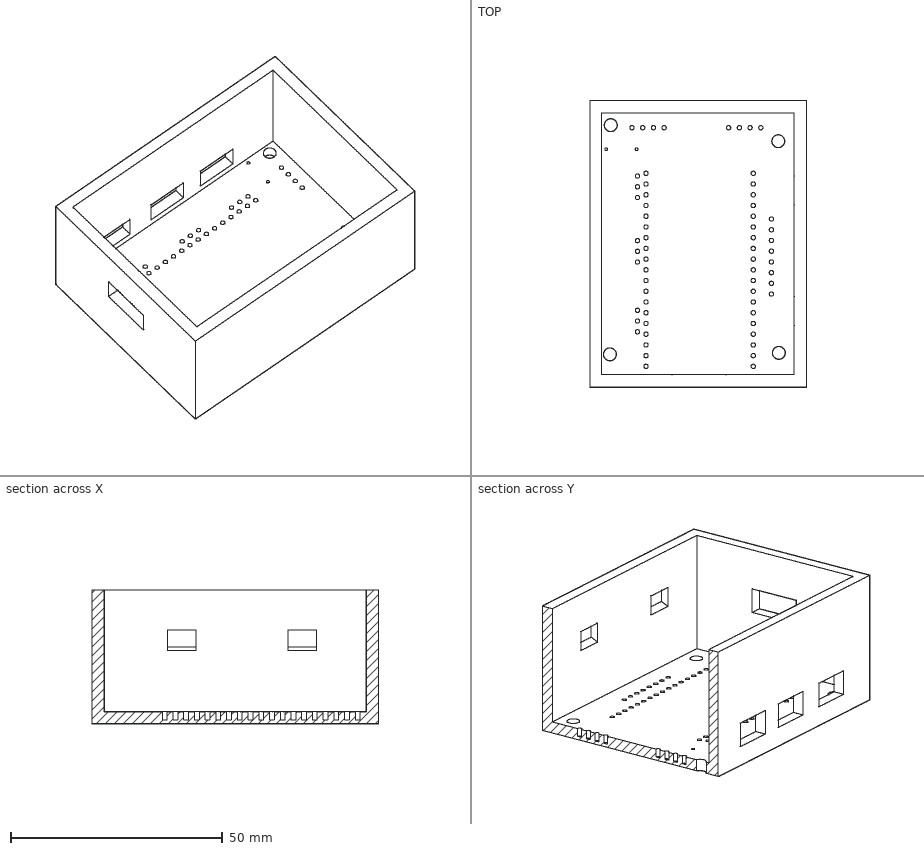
import cadquery as cq

LENGTH_X = 51.3
LENGTH_Y = 67.9
HEIGHT = 31.7
WALL = 3.0
LEFT_WALL = 2.8
FLOOR = 2.9
INNER_RIGHT = LENGTH_X - WALL

PIN_DIAMETER = 1.0
PIN_DEPTH = 2.0
HEADER_PINS = 19
HEADER_LENGTH = 45.7
PITCH = HEADER_LENGTH / (HEADER_PINS - 1)
HEADER_START_Y = 4.95
LEFT_HEADER_X = 13.3
HEADER_GAP_PITCHES = 10
RIGHT_HEADER_X = LEFT_HEADER_X + HEADER_GAP_PITCHES * PITCH

CONNECTOR_PINS = 3
CONNECTOR_X = 11.3
CONNECTOR_CENTERS_Y = (15.7, 32.2, 47.45)
SIDE_WINDOW_WIDTH = 10.0
SIDE_WINDOW_SILL = 4.8
WINDOW_HEIGHT = 6.0

SIDE_ROW_PINS = 8
SIDE_ROW_X = 43.0
SIDE_ROW_START_Y = 22.1
BACK_ROW_PINS = 4
BACK_ROW_Y = 61.45
BACK_ROW_STARTS_X = (10.0, 32.85)

FINE_DIAMETER = 0.66
FINE_Y = 56.35
FINE_XS = (3.9, 11.1)

MOUNT_DIAMETER = 3.0
MOUNT_CENTERS = ((4.95, 62.05), (44.6, 58.25), (4.75, 7.8), (44.75, 8.15))

FRONT_WINDOW_WIDTH = 12.75
FRONT_WINDOW_CENTER_X = 25.8
FRONT_WINDOW_SILL = 15.8

SNAP_CENTERS_Y = (18.05, 46.6)
SNAP_WIDTH = 6.8
SNAP_DEPTH = 1.9
SNAP_BOTTOM = 17.4
SNAP_TOP = 22.2
SNAP_SILL_RISE = 0.8


def block(x_range, y_range, z_range):
    """Axis-aligned block between the given limits."""
    size = [high - low for low, high in (x_range, y_range, z_range)]
    corner = (x_range[0], y_range[0], z_range[0])
    return cq.Workplane("XY").box(*size, centered=False).translate(corner)


def span(center, width):
    """Limits of a width placed evenly about a center."""
    return center - width / 2, center + width / 2


def row_along_x(start_x, y, count):
    return [(start_x + i * PITCH, y) for i in range(count)]


def row_along_y(x, start_y, count):
    return [(x, start_y + i * PITCH) for i in range(count)]


def pin_centers():
    """Centers of all pin pockets of the common diameter."""
    centers = []
    for x in (LEFT_HEADER_X, RIGHT_HEADER_X):
        centers += row_along_y(x, HEADER_START_Y, HEADER_PINS)
    for center_y in CONNECTOR_CENTERS_Y:
        first_y = center_y - (CONNECTOR_PINS - 1) * PITCH / 2
        centers += row_along_y(CONNECTOR_X, first_y, CONNECTOR_PINS)
    centers += row_along_y(SIDE_ROW_X, SIDE_ROW_START_Y, SIDE_ROW_PINS)
    for start_x in BACK_ROW_STARTS_X:
        centers += row_along_x(start_x, BACK_ROW_Y, BACK_ROW_PINS)
    return centers


def floor_cutters(centers, diameter, depth):
    """Cylinders reaching down from the top of the floor."""
    floor_top = cq.Workplane("XY").workplane(offset=FLOOR)
    return floor_top.pushPoints(centers).circle(diameter / 2).extrude(-depth)


def snap_recess(center_y):
    """Blind recess with a flat roof and a sill that rises toward the outside."""
    profile = [
        (INNER_RIGHT, SNAP_BOTTOM),
        (INNER_RIGHT + SNAP_DEPTH, SNAP_BOTTOM + SNAP_SILL_RISE),
        (INNER_RIGHT + SNAP_DEPTH, SNAP_TOP),
        (INNER_RIGHT, SNAP_TOP),
    ]
    recess = cq.Workplane("XZ").polyline(profile).close().extrude(SNAP_WIDTH / 2, both=True)
    return recess.translate((0, center_y, 0))


result = block((0, LENGTH_X), (0, LENGTH_Y), (0, HEIGHT))
result = result.cut(block((LEFT_WALL, INNER_RIGHT), (WALL, LENGTH_Y - WALL), (FLOOR, HEIGHT)))

result = result.cut(floor_cutters(MOUNT_CENTERS, MOUNT_DIAMETER, FLOOR))
result = result.cut(floor_cutters(pin_centers(), PIN_DIAMETER, PIN_DEPTH))
result = result.cut(floor_cutters([(x, FINE_Y) for x in FINE_XS], FINE_DIAMETER, PIN_DEPTH))

side_window_z = (SIDE_WINDOW_SILL, SIDE_WINDOW_SILL + WINDOW_HEIGHT)
for connector_y in CONNECTOR_CENTERS_Y:
    result = result.cut(block((0, LEFT_WALL), span(connector_y, SIDE_WINDOW_WIDTH), side_window_z))
front_window_x = span(FRONT_WINDOW_CENTER_X, FRONT_WINDOW_WIDTH)
front_window_z = (FRONT_WINDOW_SILL, FRONT_WINDOW_SILL + WINDOW_HEIGHT)
result = result.cut(block(front_window_x, (0, WALL), front_window_z))

for snap_y in SNAP_CENTERS_Y:
    result = result.cut(snap_recess(snap_y))